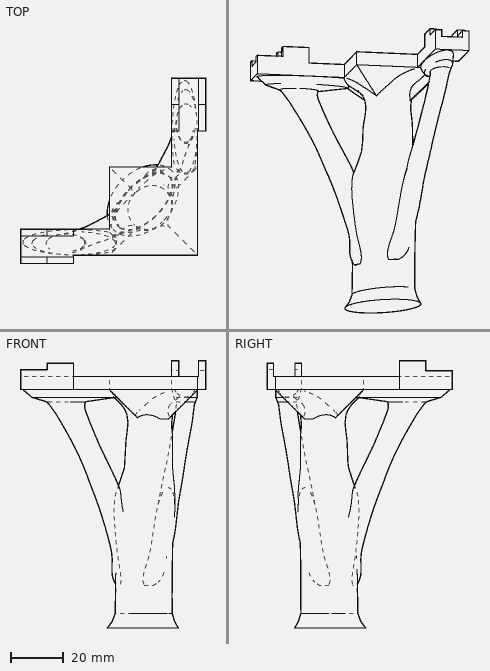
import cadquery as cq
import math

MIRROR_NORMAL = (1, 1, 0)
TRUNK_TURN = 45

TOTAL_HEIGHT = 101.0
ARM_REACH = 70.0
PLATE_BOTTOM = 90.0
PLATE_TOP = 95.0
EDGE_INSET = 3.1
ARM_WIDTH = 13.0
SQUARE_SIDE = 33.3

CRADLE_LENGTH = 20.0
STEP_LENGTH = CRADLE_LENGTH / 2
X_WALL, X_LOW_TOP, X_HIGH_TOP = 2.5, 97.6, 100.0
Y_WALL, Y_LOW_TOP, Y_HIGH_TOP = 2.8, 97.2, TOTAL_HEIGHT

PYRAMID_DEPTH = 11.1
PYRAMID_TAPER = 45
SQUARE_CENTRE = EDGE_INSET + SQUARE_SIDE / 2

FOOT_SECTIONS = [
    (0.0, 23.8, 15.7, 10.9),
    (2.0, 23.6, 14.5, 9.0),
    (5.6, 23.5, 13.4, 7.3),
]
TRUNK_SECTIONS = [
    FOOT_SECTIONS[-1],
    (10.1, 23.4, 13.4, 7.1),
    (17.2, 23.4, 13.4, 7.1),
    (25.2, 23.4, 13.5, 7.1),
    (32.3, 23.5, 13.9, 7.1),
    (40.4, 23.5, 14.7, 7.1),
    (47.5, 23.2, 14.7, 7.1),
    (54.5, 22.4, 12.9, 7.1),
    (60.6, 21.7, 10.7, 7.3),
    (70.7, 21.4, 9.9, 7.7),
    (80.8, 21.2, 9.3, 8.1),
    (84.3, 21.4, 12.3, 8.6),
    (86.9, 21.4, 16.2, 9.1),
    (PLATE_BOTTOM, 21.2, 19.2, 9.5),
]

BRANCH_SECTIONS = [
    (16.2, 28.3, 20.2, 5.6, 4.4),
    (26.3, 29.9, 18.2, 5.6, 4.4),
    (33.3, 31.4, 16.6, 5.4, 4.3),
    (40.4, 33.5, 15.3, 5.3, 4.1),
    (47.5, 36.0, 14.1, 5.2, 3.8),
    (55.1, 38.8, 12.7, 5.3, 3.7),
    (61.7, 41.6, 11.5, 4.9, 3.5),
    (72.3, 46.7, 9.6, 5.0, 3.4),
    (81.0, 50.9, 8.2, 5.9, 3.4),
    (85.4, 52.8, 7.6, 7.5, 3.6),
]
HEAD_SECTIONS = [
    BRANCH_SECTIONS[-1],
    (87.1, 49.9, 7.7, 15.8, 4.4),
    (PLATE_BOTTOM, 48.9, 8.1, 20.2, 4.8),
]


def block(x_range, y_range, z_range):
    """Box from its limits along each axis."""
    sizes = [high - low for low, high in (x_range, y_range, z_range)]
    return cq.Workplane("XY").box(*sizes, centered=False).translate((x_range[0], y_range[0], z_range[0]))


def loft_ellipses(sections, ruled=False):
    """Loft through horizontal ellipses given as (z, x, y, half length, half width, turn in degrees)."""
    wires = []
    for z, x, y, half_length, half_width, turn in sections:
        direction = cq.Vector(math.cos(math.radians(turn)), math.sin(math.radians(turn)), 0)
        edge = cq.Edge.makeEllipse(
            max(half_length, half_width), min(half_length, half_width),
            cq.Vector(x, y, z), cq.Vector(0, 0, 1), direction,
        )
        wires.append(cq.Wire.assembleEdges([edge]))
    return cq.Workplane(obj=cq.Solid.makeLoft(wires, ruled))


def make_cradle_arm(wall, low_top, high_top):
    """Arm towards -X with its cradle: floor, two low walls, and taller walls at the inner half."""
    arm = block((-ARM_REACH, -EDGE_INSET), (EDGE_INSET, ARM_WIDTH), (PLATE_BOTTOM, PLATE_TOP))
    cradle_start = CRADLE_LENGTH - ARM_REACH
    arm = arm.union(block((-ARM_REACH, cradle_start), (0, ARM_WIDTH), (PLATE_BOTTOM, PLATE_TOP)))
    for wall_start in (0, ARM_WIDTH - wall):
        across = (wall_start, wall_start + wall)
        arm = arm.union(block((-ARM_REACH, cradle_start), across, (PLATE_BOTTOM, low_top)))
        arm = arm.union(block((cradle_start - STEP_LENGTH, cradle_start), across, (PLATE_BOTTOM, high_top)))
    return arm


def make_plate():
    """L-shaped top plate with its filled inner corner and both cradles."""
    near = EDGE_INSET
    far = EDGE_INSET + SQUARE_SIDE
    square = block((-far, -near), (near, far), (PLATE_BOTTOM, PLATE_TOP))
    x_arm = make_cradle_arm(X_WALL, X_LOW_TOP, X_HIGH_TOP)
    y_arm = make_cradle_arm(Y_WALL, Y_LOW_TOP, Y_HIGH_TOP).mirror(MIRROR_NORMAL)
    return square.union(x_arm).union(y_arm)


def make_pyramid():
    """Inverted tapered frustum under the square of the plate."""
    return (
        cq.Workplane("XY", origin=(-SQUARE_CENTRE, SQUARE_CENTRE, PLATE_BOTTOM))
        .rect(SQUARE_SIDE, SQUARE_SIDE)
        .extrude(-PYRAMID_DEPTH, taper=PYRAMID_TAPER)
    )


def make_trunk():
    """Flared foot and trunk, flattened along the mirror plane."""
    def placed(sections):
        return [(z, -offset, offset, across, along, TRUNK_TURN) for z, offset, across, along in sections]

    return loft_ellipses(placed(FOOT_SECTIONS)).union(loft_ellipses(placed(TRUNK_SECTIONS)))


def make_branch():
    """Branch that leaves the trunk and spreads out under the -X arm."""
    def placed(sections):
        return [(z, -out, offset, length, width, 0) for z, out, offset, length, width in sections]

    return loft_ellipses(placed(BRANCH_SECTIONS)).union(loft_ellipses(placed(HEAD_SECTIONS), ruled=True))


branch = make_branch()
result = (
    make_plate()
    .union(make_pyramid())
    .union(make_trunk())
    .union(branch)
    .union(branch.mirror(MIRROR_NORMAL))
)